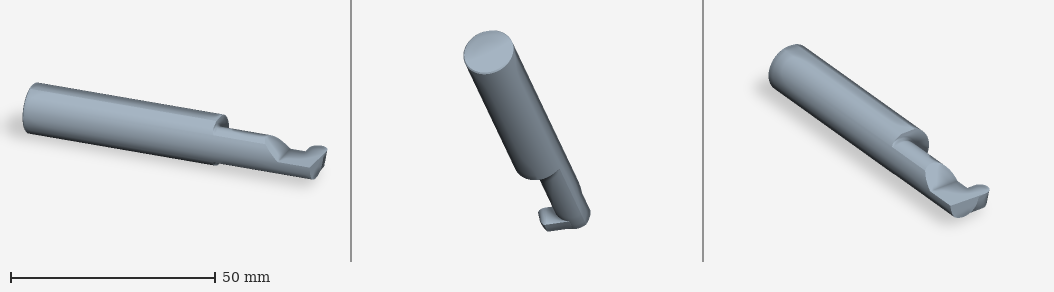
import cadquery as cq
import math

length = 76.2
shank_diameter = length / 6
shank_length = 49.5
end_chamfer = 0.3
flat_width = 3.9

neck_radius = 4.5
neck_offset = 2.6
neck_fillet = 0.6

ramp_end = 67.35
cutting_face_height = 0.0

nose_radius = 2.4
hook_draft = 10.0
end_relief = 0.4

shank_radius = shank_diameter / 2
flat_height = math.sqrt(shank_radius**2 - (flat_width / 2)**2)
nose_x = length - nose_radius
nose_y = shank_radius - nose_radius
hook_back = nose_x - nose_radius
relief_angle = math.atan2(end_relief, nose_y + shank_radius)
nose_tangent = (
    nose_x + nose_radius * math.cos(relief_angle),
    nose_y - nose_radius * math.sin(relief_angle),
)


def make_shank():
    """Round shank with a chamfered rear end and one clamping flat."""
    shank = cq.Workplane("YZ").circle(shank_radius).extrude(shank_length)
    shank = shank.faces("<X").chamfer(end_chamfer)
    flat_cut = (
        cq.Workplane("XY")
        .workplane(offset=flat_height)
        .rect(2 * length, shank_diameter)
        .extrude(shank_radius)
    )
    return shank.cut(flat_cut)


def make_envelope():
    """Full-length cylinder that limits the neck and the hook."""
    return cq.Workplane("YZ").circle(shank_radius).extrude(length)


def make_neck():
    """Offset round neck, flared by a fillet where it leaves the shank."""
    flare_radius = neck_radius + neck_fillet
    flare_end = shank_length + neck_fillet
    arc_reach = neck_fillet * (1 - math.sqrt(0.5))
    profile = (
        cq.Workplane("XY")
        .moveTo(shank_length, 0)
        .lineTo(shank_length, flare_radius)
        .threePointArc(
            (shank_length + arc_reach, neck_radius + arc_reach),
            (flare_end, neck_radius),
        )
        .lineTo(length, neck_radius)
        .lineTo(length, 0)
        .close()
    )
    neck = profile.revolve(360, (0, 0, 0), (1, 0, 0))
    return neck.translate((0, -neck_offset, 0))


def make_hook():
    """Round-nosed cutting hook toward +Y, narrowing below its top face."""
    return (
        cq.Workplane("XY")
        .workplane(offset=cutting_face_height)
        .moveTo(hook_back, -neck_offset)
        .lineTo(hook_back, nose_y)
        .threePointArc((nose_x, shank_radius), nose_tangent)
        .lineTo(length, -neck_offset)
        .close()
        .extrude(-(neck_radius + cutting_face_height), taper=hook_draft)
    )


def make_head_cut():
    """Space above the 45 degree ramp and the cutting face."""
    ramp_rise = shank_radius - cutting_face_height
    return (
        cq.Workplane("XZ")
        .moveTo(ramp_end, cutting_face_height)
        .lineTo(ramp_end - ramp_rise, shank_radius)
        .lineTo(length, shank_radius)
        .lineTo(length, cutting_face_height)
        .close()
        .extrude(shank_diameter, both=True)
    )


def make_end_cut():
    """Space beyond the slightly slanted end face."""
    return (
        cq.Workplane("XY")
        .workplane(offset=-shank_radius)
        .moveTo(*nose_tangent)
        .lineTo(length - end_relief, -shank_radius)
        .lineTo(length + nose_radius, -shank_radius)
        .lineTo(length + nose_radius, nose_tangent[1])
        .close()
        .extrude(shank_diameter)
    )


bar = make_neck().union(make_hook()).intersect(make_envelope())
bar = bar.cut(make_head_cut()).cut(make_end_cut())
result = make_shank().union(bar)